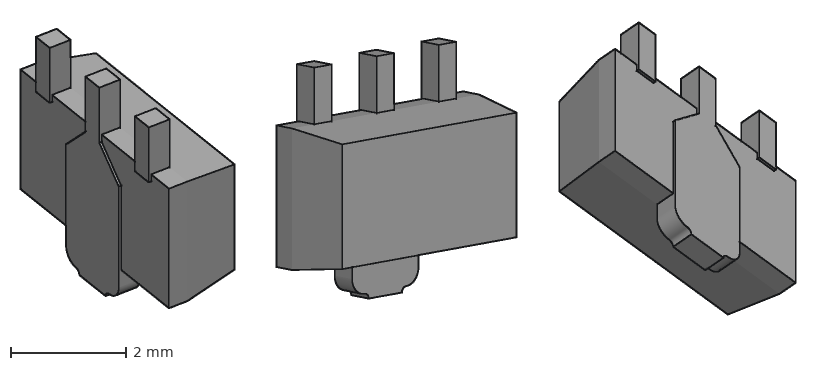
import cadquery as cq
import math


housing_width = 4.5
housing_height = 2.5
base_depth = 0.39
taper_depth = 1.1
taper_inset = 0.15

metal_thickness = 0.44
lead_width = 0.42
lead_pitch = 1.5
lead_reach = 1.0
lead_embed = 0.15
tab_width = 1.6
tab_reach = 0.75
tab_corner_radius = 0.3
tab_notch_radius = 0.1
lead_top = housing_height + lead_reach
lead_bottom = housing_height - lead_embed


def extrude_metal(profile):
    """Extrude an XZ profile from Y = 0 toward -Y by the metal thickness."""
    return profile.extrude(metal_thickness)


def make_side_lead(center_x):
    """Plain rectangular lead, set into the top edge of the housing."""
    length = lead_top - lead_bottom
    profile = (
        cq.Workplane("XZ")
        .center(center_x, lead_bottom + length / 2)
        .rect(lead_width, length)
    )
    return extrude_metal(profile)


def make_tab():
    """Heat tab and middle lead in one piece, with 45 degree shoulders."""
    half_lead = lead_width / 2
    half_tab = tab_width / 2
    shoulder_bottom = lead_bottom - (half_tab - half_lead)

    tab_bottom = -tab_reach
    notch_top = tab_bottom + tab_notch_radius
    corner_top = notch_top + tab_corner_radius
    corner_x = half_tab - tab_corner_radius
    foot_x = corner_x - tab_notch_radius

    corner_mid = tab_corner_radius * math.sqrt(0.5)
    notch_mid = tab_notch_radius * math.sqrt(0.5)

    profile = (
        cq.Workplane("XZ")
        .moveTo(-half_lead, lead_top)
        .lineTo(half_lead, lead_top)
        .lineTo(half_lead, lead_bottom)
        .lineTo(half_tab, shoulder_bottom)
        .lineTo(half_tab, corner_top)
        .threePointArc((corner_x + corner_mid, corner_top - corner_mid), (corner_x, notch_top))
        .threePointArc((corner_x - notch_mid, tab_bottom + notch_mid), (foot_x, tab_bottom))
        .lineTo(-foot_x, tab_bottom)
        .threePointArc((-corner_x + notch_mid, tab_bottom + notch_mid), (-corner_x, notch_top))
        .threePointArc((-corner_x - corner_mid, corner_top - corner_mid), (-half_tab, corner_top))
        .lineTo(-half_tab, shoulder_bottom)
        .lineTo(-half_lead, lead_bottom)
        .close()
    )
    return extrude_metal(profile)


def make_housing(embedded_parts):
    """Block with a tapered back, recessed to fit the embedded metal parts."""
    center_z = housing_height / 2
    base = (
        cq.Workplane("XZ")
        .center(0, center_z)
        .rect(housing_width, housing_height)
        .extrude(base_depth)
    )
    tapered_back = (
        cq.Workplane("XZ")
        .center(0, center_z)
        .rect(housing_width, housing_height)
        .workplane(offset=-taper_depth)
        .rect(housing_width - 2 * taper_inset, housing_height - 2 * taper_inset)
        .loft(ruled=True)
    )
    body = base.union(tapered_back)
    for part in embedded_parts:
        body = body.cut(part)
    return body


tab = make_tab()
side_leads = [make_side_lead(side * lead_pitch) for side in (-1, 1)]
housing = make_housing([tab, *side_leads])

result = cq.Compound.makeCompound([
    housing.val(),
    tab.val(),
    *[lead.val() for lead in side_leads],
])